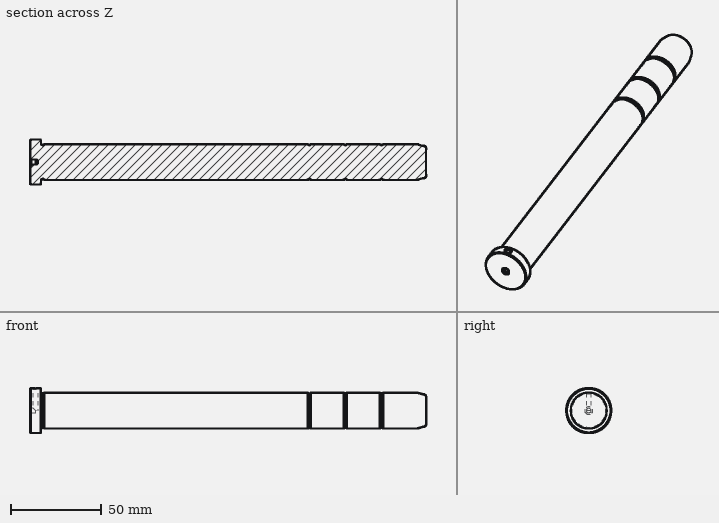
import cadquery as cq
import math

total_length = 220.0
head_diameter = 25.0
head_thickness = 6.2
head_chamfer = 0.5
shank_diameter = 20.0

groove_width = 2.0
groove_depth = 0.7
first_groove_start = 154.0
groove_pitch = 20.0
groove_count = 3

lead_length = 5.0
lead_end_diameter = 18.3
nose_radius = 2.0

hole_diameter = 2.6
countersink_diameter = 4.5
countersink_angle = 90.0

radial_hole_x = head_thickness / 2
head_radius = head_diameter / 2
shank_radius = shank_diameter / 2
groove_radius = shank_radius - groove_depth
lead_end_radius = lead_end_diameter / 2


def make_body():
    """Revolve the half profile of head, shank, grooves and lead-in about X."""
    profile = (
        cq.Workplane("XZ")
        .moveTo(0, 0)
        .lineTo(0, head_radius - head_chamfer)
        .lineTo(head_chamfer, head_radius)
        .lineTo(head_thickness - head_chamfer, head_radius)
        .lineTo(head_thickness, head_radius - head_chamfer)
        .lineTo(head_thickness, shank_radius)
        .lineTo(head_thickness + groove_width / 2, groove_radius)
        .lineTo(head_thickness + groove_width, shank_radius)
    )
    for index in range(groove_count):
        start = first_groove_start + index * groove_pitch
        profile = (
            profile.lineTo(start, shank_radius)
            .lineTo(start + groove_width / 2, groove_radius)
            .lineTo(start + groove_width, shank_radius)
        )
    profile = (
        profile.lineTo(total_length - lead_length, shank_radius)
        .lineTo(total_length - nose_radius, lead_end_radius)
        .radiusArc((total_length, lead_end_radius - nose_radius), nose_radius)
        .lineTo(total_length, 0)
        .close()
    )
    return profile.revolve(360, (0, 0, 0), (1, 0, 0))


def make_countersunk_drill(depth):
    """Drill entering at the origin along -Z, with its countersink cone at the top."""
    mouth_radius = countersink_diameter / 2
    hole_radius = hole_diameter / 2
    cone_depth = (mouth_radius - hole_radius) / math.tan(math.radians(countersink_angle / 2))
    return (
        cq.Workplane("XZ")
        .moveTo(0, 0)
        .lineTo(mouth_radius, 0)
        .lineTo(hole_radius, -cone_depth)
        .lineTo(hole_radius, -depth)
        .lineTo(0, -depth)
        .close()
        .revolve(360, (0, 0, 0), (0, 1, 0))
    )


def drill_head(body):
    """Drill an axial and a radial hole that meet inside the head."""
    axial_drill = make_countersunk_drill(radial_hole_x).rotate((0, 0, 0), (0, 1, 0), -90)
    radial_drill = make_countersunk_drill(head_radius).translate((radial_hole_x, 0, head_radius))
    return body.cut(axial_drill).cut(radial_drill)


result = drill_head(make_body())